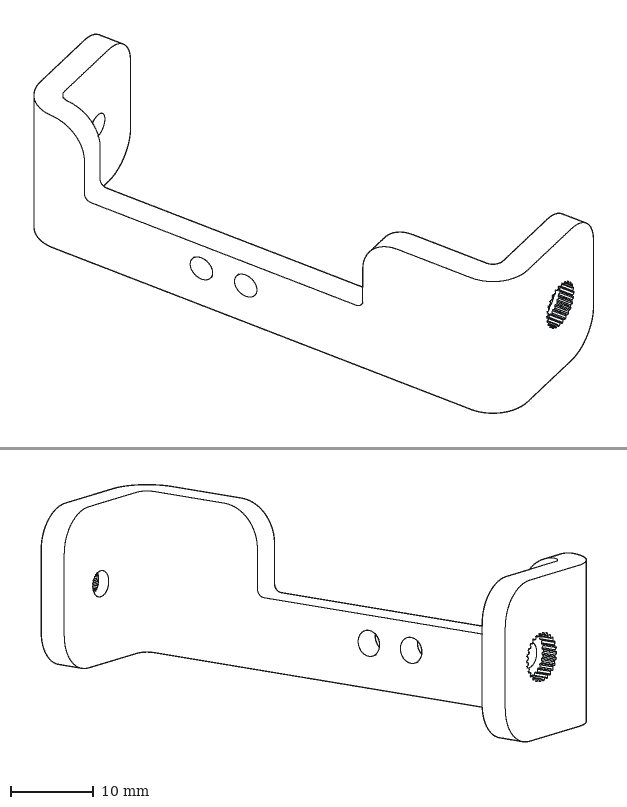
import cadquery as cq
import math

length = 70.0
depth = 19.8
height = 20.0
thickness = 3.5
inner_bend_radius = 1.5
outer_bend_radius = inner_bend_radius + thickness
corner_radius = 5.0

notch_start = 9.5
notch_width = 40.0
notch_floor = 9.1
notch_root_radius = 1.0

hole_diameter = 3.2
wall_hole_start = 26.3
wall_hole_spacing = 6.4
wall_hole_height = 5.6
leg_hole_offset = 12.4

tooth_count = 26
tooth_tip_radius = 3.0
tooth_root_radius = 2.7
counterbore_depth = 1.95


def bent_strip():
    """U-shaped strip with rounded bends and rounded free leg ends."""
    outer = cq.Workplane("XY").box(length, depth, height, centered=False)
    outer = outer.edges("|Z and <Y").fillet(outer_bend_radius)
    inner = (
        cq.Workplane("XY")
        .box(length - 2 * thickness, depth, height, centered=False)
        .edges("|Z and <Y")
        .fillet(inner_bend_radius)
        .translate((thickness, thickness, 0))
    )
    return outer.cut(inner).edges("|X and >Y").fillet(corner_radius)


def notch():
    """Notch volume with small root fillets and mouth corners flared tangent to the top edge."""
    left = notch_start
    right = notch_start + notch_width
    flare_start = height - corner_radius
    body = (
        cq.Workplane("XY")
        .box(notch_width, outer_bend_radius, height - notch_floor, centered=False)
        .edges("|Y and <Z")
        .fillet(notch_root_radius)
        .translate((left, 0, notch_floor))
    )
    mouth = cq.Workplane("XY").box(
        notch_width + 2 * corner_radius, outer_bend_radius, corner_radius, centered=False
    ).translate((left - corner_radius, 0, flare_start))
    for arc_center in (left - corner_radius, right + corner_radius):
        rounded_corner = (
            cq.Workplane("XZ", origin=(arc_center, 0, flare_start))
            .circle(corner_radius)
            .extrude(-outer_bend_radius)
        )
        mouth = mouth.cut(rounded_corner)
    return body.union(mouth)


def wall_holes():
    """Pair of screw holes through the back wall, below the notch."""
    centers = [(wall_hole_start + i * wall_hole_spacing, wall_hole_height) for i in range(2)]
    return cq.Workplane("XZ").pushPoints(centers).circle(hole_diameter / 2).extrude(-thickness)


def leg_holes():
    """Screw hole through both legs, on a shared axis along X."""
    return (
        cq.Workplane("YZ")
        .center(leg_hole_offset, height / 2)
        .circle(hole_diameter / 2)
        .extrude(length)
    )


def toothed_counterbore(outer_face, sink):
    """Recess with a toothed rim, sunk a signed distance along X from a leg's outer face."""
    rim = []
    half_flat = math.pi / (4 * tooth_count)
    for tooth in range(tooth_count):
        tip_angle = 2 * math.pi * tooth / tooth_count
        root_angle = tip_angle + math.pi / tooth_count
        for radius, middle in ((tooth_tip_radius, tip_angle), (tooth_root_radius, root_angle)):
            for angle in (middle - half_flat, middle + half_flat):
                rim.append((radius * math.cos(angle), radius * math.sin(angle)))
    return (
        cq.Workplane("YZ", origin=(outer_face, leg_hole_offset, height / 2))
        .polyline(rim)
        .close()
        .extrude(sink)
    )


result = bent_strip().cut(notch()).cut(wall_holes()).cut(leg_holes())
result = result.cut(toothed_counterbore(0, counterbore_depth))
result = result.cut(toothed_counterbore(length, -counterbore_depth))